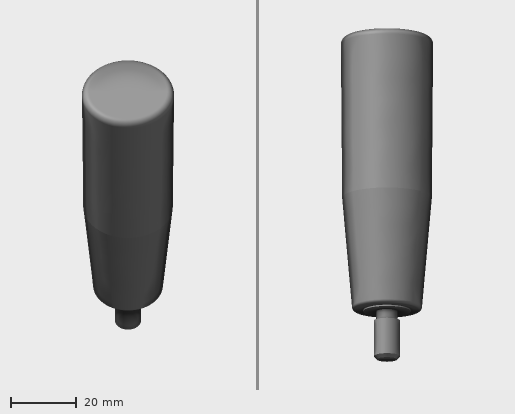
import cadquery as cq

TOTAL_LENGTH = 100.4
HALF_LENGTH = TOTAL_LENGTH / 2
STUD_TIP_Z = -HALF_LENGTH
HANDLE_TOP_Z = HALF_LENGTH

HANDLE_LENGTH = 85.0
HANDLE_WAIST_HEIGHT = 35.0
TOP_DIAMETER = 28.0
WAIST_DIAMETER = 27.2
BOTTOM_DIAMETER = 21.1
TOP_ROUND = 2.0
BOTTOM_ROUND = 1.0
BEARING_FACE_DIAMETER = 14.5
BEARING_FACE_HEIGHT = 0.4

THREAD_DIAMETER = 8.0
THREAD_LENGTH = 12.0
TIP_CHAMFER = 1.0
NECK_DIAMETER = 6.5

HANDLE_BOTTOM_Z = HANDLE_TOP_Z - HANDLE_LENGTH
WAIST_Z = HANDLE_BOTTOM_Z + HANDLE_WAIST_HEIGHT
BEARING_FACE_Z = HANDLE_BOTTOM_Z - BEARING_FACE_HEIGHT
NECK_LENGTH = BEARING_FACE_Z - STUD_TIP_Z - THREAD_LENGTH


def make_grip():
    """Tapered grip turned about Z, with both end rims rounded."""
    profile = (
        cq.Workplane("XZ")
        .moveTo(0, HANDLE_BOTTOM_Z)
        .lineTo(BOTTOM_DIAMETER / 2, HANDLE_BOTTOM_Z)
        .lineTo(WAIST_DIAMETER / 2, WAIST_Z)
        .lineTo(TOP_DIAMETER / 2, HANDLE_TOP_Z)
        .lineTo(0, HANDLE_TOP_Z)
        .close()
    )
    grip = profile.revolve(360, (0, 0), (0, 1))
    grip = grip.faces(">Z").edges().fillet(TOP_ROUND)
    return grip.faces("<Z").edges().fillet(BOTTOM_ROUND)


def make_handle():
    """Grip with a low round bearing face raised on its lower end."""
    bearing_face = (
        cq.Workplane("XY", origin=(0, 0, BEARING_FACE_Z))
        .circle(BEARING_FACE_DIAMETER / 2)
        .extrude(BEARING_FACE_HEIGHT)
    )
    return make_grip().union(bearing_face)


def make_stud():
    """Threaded end with a chamfered tip and a thinner neck that meets the bearing face."""
    thread = (
        cq.Workplane("XY", origin=(0, 0, STUD_TIP_Z))
        .circle(THREAD_DIAMETER / 2)
        .extrude(THREAD_LENGTH)
        .faces("<Z")
        .chamfer(TIP_CHAMFER)
    )
    return thread.faces(">Z").workplane().circle(NECK_DIAMETER / 2).extrude(NECK_LENGTH)


handle = make_handle()
stud = make_stud()

result = cq.Compound.makeCompound([handle.val(), stud.val()])